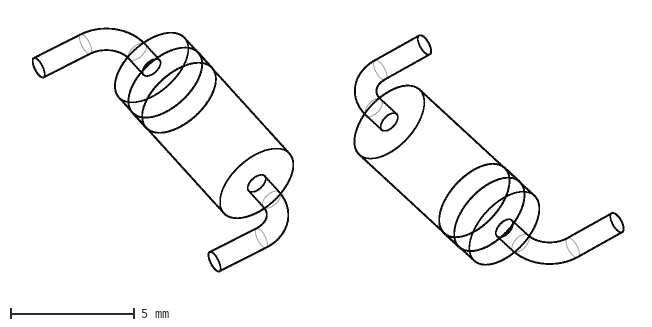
import cadquery as cq

overall_length = 13.61
overall_depth = 5.62

body_length = 7.61
body_diameter = 3.6

band_diameter = 3.63
band_width = 1.0
band_offset = 1.0

wire_diameter = 0.88
bend_radius = 1.51

body_end = body_length / 2
leg_x = (overall_length - wire_diameter) / 2
bend_start = leg_x - bend_radius
lead_reach = overall_depth - band_diameter / 2


def cylinder_along_x(start, length, diameter):
    """Solid cylinder on the X axis, running from start towards +X."""
    return cq.Workplane("YZ", origin=(start, 0, 0)).circle(diameter / 2).extrude(length)


def make_body():
    return cylinder_along_x(-body_end, body_length, body_diameter)


def make_band():
    """Thin sleeve fitted on the outside of the body."""
    band_start = -body_end + band_offset
    sleeve = cylinder_along_x(band_start, band_width, band_diameter)
    return sleeve.cut(cylinder_along_x(band_start, band_width, body_diameter))


def make_lead(side):
    """Bent lead butting against the body's end face; side is -1 for -X or +1 for +X."""
    centre_line = (
        cq.Workplane("XY")
        .moveTo(side * body_end, 0)
        .lineTo(side * bend_start, 0)
        .tangentArcPoint((side * leg_x, -bend_radius), relative=False)
        .lineTo(side * leg_x, -lead_reach)
    )
    section = cq.Workplane("YZ", origin=(side * body_end, 0, 0)).circle(wire_diameter / 2)
    return section.sweep(centre_line)


body = make_body()
band = make_band()
leads = [make_lead(side) for side in (-1, 1)]

result = cq.Compound.makeCompound([body.val(), band.val(), *[lead.val() for lead in leads]])